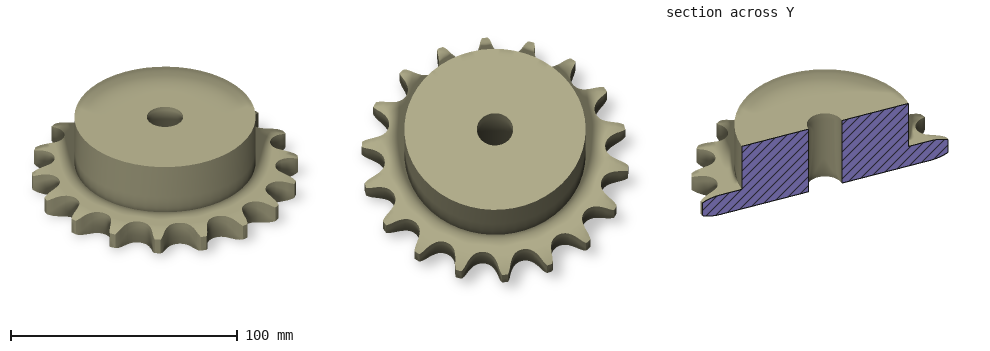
import cadquery as cq
import math

CHAIN_PITCH = 19.05
ROLLER_DIAMETER = 12.07
TOOTH_COUNT = 18

TIP_DIAMETER = 118.0
TOOTH_WIDTH = 11.1
HUB_DIAMETER = 80.0
BORE_DIAMETER = 16.0
TOTAL_HEIGHT = 35.0

RELIEF_START_RADIUS = 50.6
RELIEF_ARC_RADIUS = CHAIN_PITCH

TOOTH_ANGLE = 360.0 / TOOTH_COUNT
TIP_RADIUS = TIP_DIAMETER / 2
PITCH_RADIUS = CHAIN_PITCH / 2 / math.sin(math.radians(TOOTH_ANGLE / 2))
GAP_CUT_RADIUS = 1.1 * TIP_RADIUS

SEAT_RADIUS = (1.005 * ROLLER_DIAMETER + 0.0762) / 2
SEAT_END_ANGLE = math.radians(35 + 60 / TOOTH_COUNT)
WORKING_ARC_ANGLE = math.radians(18 - 56 / TOOTH_COUNT)
WORKING_CENTER_OFFSET = 0.8 * ROLLER_DIAMETER
TOPPING_CENTER_OFFSET = 1.4 * ROLLER_DIAMETER


def polar(center, radius, angle):
    """Point at a radius and an angle in radians from a center."""
    return (center[0] + radius * math.cos(angle), center[1] + radius * math.sin(angle))


def mirrored(point):
    """Point reflected across the gap's center line."""
    return (-point[0], point[1])


def topping_arc_angle(center, radius):
    """Angle about the topping arc's center at which the arc meets the tip circle."""
    distance = math.hypot(*center)
    toward_axis = math.atan2(-center[1], -center[0])
    cosine = (distance**2 + radius**2 - TIP_RADIUS**2) / (2 * distance * radius)
    return toward_axis - math.acos(cosine)


def tooth_gap():
    """Cutter for one tooth gap, centered on +Y: seat, working arcs, straight flanks, topping arcs."""
    roller_center = (0, PITCH_RADIUS)
    seat_bottom = (0, PITCH_RADIUS - SEAT_RADIUS)
    seat_end = polar(roller_center, SEAT_RADIUS, -SEAT_END_ANGLE)

    working_center = polar(roller_center, -WORKING_CENTER_OFFSET, -SEAT_END_ANGLE)
    working_radius = WORKING_CENTER_OFFSET + SEAT_RADIUS
    flank_angle = WORKING_ARC_ANGLE - SEAT_END_ANGLE
    working_mid = polar(working_center, working_radius, (flank_angle - SEAT_END_ANGLE) / 2)
    working_end = polar(working_center, working_radius, flank_angle)

    topping_center = polar(roller_center, TOPPING_CENTER_OFFSET, -math.radians(TOOTH_ANGLE / 2))
    to_topping_x = topping_center[0] - working_center[0]
    to_topping_y = topping_center[1] - working_center[1]
    center_gap = to_topping_x * math.cos(flank_angle) + to_topping_y * math.sin(flank_angle)
    topping_radius = center_gap - working_radius
    topping_start_angle = flank_angle + math.pi
    topping_start = polar(topping_center, topping_radius, topping_start_angle)
    tip_angle = topping_arc_angle(topping_center, topping_radius) % (2 * math.pi)
    topping_mid = polar(topping_center, topping_radius, (topping_start_angle + tip_angle) / 2)
    tip = polar(topping_center, topping_radius, tip_angle)

    outside = polar((0, 0), GAP_CUT_RADIUS, math.atan2(tip[1], tip[0]))

    return (
        cq.Workplane("XY")
        .moveTo(*seat_end)
        .threePointArc(working_mid, working_end)
        .lineTo(*topping_start)
        .threePointArc(topping_mid, tip)
        .lineTo(*outside)
        .lineTo(*mirrored(outside))
        .lineTo(*mirrored(tip))
        .threePointArc(mirrored(topping_mid), mirrored(topping_start))
        .lineTo(*mirrored(working_end))
        .threePointArc(mirrored(working_mid), mirrored(seat_end))
        .threePointArc(seat_bottom, seat_end)
        .close()
        .extrude(TOOTH_WIDTH)
    )


def toothed_plate():
    """Disc with side relief toward the tips, cut by a ring of tooth gaps."""
    relief_length = TIP_RADIUS - RELIEF_START_RADIUS
    relief_sweep = math.asin(relief_length / RELIEF_ARC_RADIUS)
    relief_depth = RELIEF_ARC_RADIUS * (1 - math.cos(relief_sweep))
    mid_radius = RELIEF_START_RADIUS + RELIEF_ARC_RADIUS * math.sin(relief_sweep / 2)
    mid_depth = RELIEF_ARC_RADIUS * (1 - math.cos(relief_sweep / 2))

    plate = (
        cq.Workplane("XZ")
        .lineTo(RELIEF_START_RADIUS, 0)
        .threePointArc((mid_radius, mid_depth), (TIP_RADIUS, relief_depth))
        .lineTo(TIP_RADIUS, TOOTH_WIDTH - relief_depth)
        .threePointArc((mid_radius, TOOTH_WIDTH - mid_depth), (RELIEF_START_RADIUS, TOOTH_WIDTH))
        .lineTo(0, TOOTH_WIDTH)
        .close()
        .revolve(360, (0, 0), (0, 1))
    )
    gap = tooth_gap()
    for index in range(TOOTH_COUNT):
        plate = plate.cut(gap.rotate((0, 0, 0), (0, 0, 1), index * TOOTH_ANGLE))
    return plate


hub = cq.Workplane("XY").circle(HUB_DIAMETER / 2).extrude(TOTAL_HEIGHT)
bore = cq.Workplane("XY").circle(BORE_DIAMETER / 2).extrude(TOTAL_HEIGHT)

result = toothed_plate().union(hub).cut(bore)